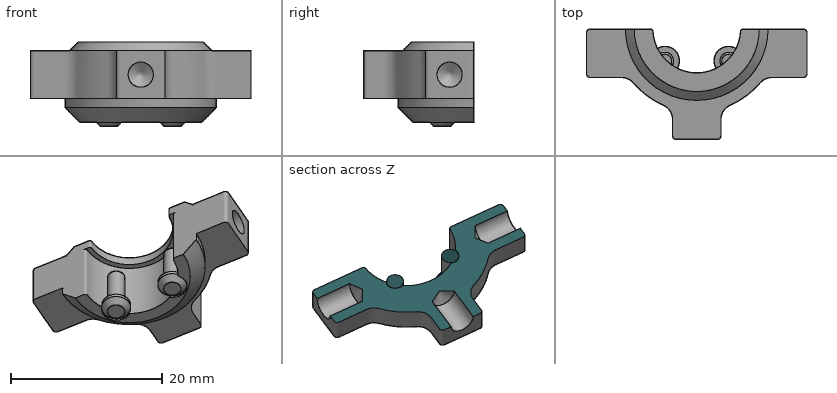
import cadquery as cq
import math

housing_bottom = 0.55
flange_chamfer_top = 2.5
plate_bottom = 3.7
plate_top = 10.05
housing_top = 11.2

overall_length = 29.2
arm_reach = overall_length / 2
arm_width = 6.42
plate_radius = 11.0
root_fillet = 2.05
corner_fillet = 0.5

collar_radius = 9.43
flange_radius = 10.02

lip_radius = 5.78
seat_radius = 6.45
bore_corner_fillet = 0.35
lip_thickness = 1.4
seat_top = housing_top - lip_thickness

drill_radius = 1.65
drill_depth = 4.95
drill_tip_angle = 118.0
drill_height = (plate_bottom + plate_top) / 2

screw_offset = 4.2
head_radius = 1.93
head_height = 1.3
head_chamfer = 0.85
shank_radius = 1.15
shank_tip_chamfer = 0.25
screw_length = 7.3
screw_places = [(side * screw_offset, -screw_offset) for side in (-1, 1)]


def half_turned(profile):
    """Revolve (radius, height) points through the half turn on the -Y side."""
    return cq.Workplane("XZ").polyline(profile).close().revolve(180, (0, 0, 0), (0, -1, 0))


def vertical_edges_at(solid, places):
    """Vertical edges of the solid that stand at the given (x, y) places."""
    tolerance = 0.003
    edges = [
        edge
        for edge in solid.edges("|Z").vals()
        if any(math.hypot(edge.Center().x - x, edge.Center().y - y) < tolerance for x, y in places)
    ]
    return solid.newObject(edges)


def make_plate():
    """Three-armed half disc with rounded arm roots and arm corners."""
    height = plate_top - plate_bottom
    half_width = arm_width / 2
    base = cq.Workplane("XY", origin=(0, 0, plate_bottom))
    disc = half_turned([
        (0, plate_bottom),
        (plate_radius, plate_bottom),
        (plate_radius, plate_top),
        (0, plate_top),
    ])
    side_arms = base.center(0, -half_width).rect(overall_length, arm_width).extrude(height)
    front_arm = base.center(0, -arm_reach / 2).rect(arm_width, arm_reach).extrude(height)
    plate = disc.union(side_arms).union(front_arm)

    side_root_x = math.sqrt(plate_radius**2 - arm_width**2)
    front_root_y = -math.sqrt(plate_radius**2 - half_width**2)
    roots = []
    corners = []
    for side in (-1, 1):
        roots += [(side * side_root_x, -arm_width), (side * half_width, front_root_y)]
        corners += [
            (side * arm_reach, 0),
            (side * arm_reach, -arm_width),
            (side * half_width, -arm_reach),
        ]
    plate = vertical_edges_at(plate, roots).fillet(root_fillet)
    return vertical_edges_at(plate, corners).fillet(corner_fillet)


def make_collar():
    """Chamfered half ring on top of the plate."""
    return half_turned([
        (0, plate_bottom),
        (collar_radius, plate_bottom),
        (collar_radius, plate_top),
        (collar_radius - (housing_top - plate_top), housing_top),
        (0, housing_top),
    ])


def make_flange():
    """Half ring under the plate, chamfered toward the bottom."""
    return half_turned([
        (0, housing_bottom),
        (flange_radius - (flange_chamfer_top - housing_bottom), housing_bottom),
        (flange_radius, flange_chamfer_top),
        (flange_radius, plate_top),
        (0, plate_top),
    ])


def cut_bore(solid):
    """Cut the seat and the lip opening, and round their corners on the split face."""
    seat = cq.Workplane("XY").circle(seat_radius).extrude(seat_top)
    opening = cq.Workplane("XY").circle(lip_radius).extrude(housing_top)
    solid = solid.cut(seat.union(opening))
    corners = [(side * radius, 0) for side in (-1, 1) for radius in (lip_radius, seat_radius)]
    return vertical_edges_at(solid, corners).fillet(bore_corner_fillet)


def make_drill(start, direction):
    """Drill-shaped cutter with a conical tip, entering at start along direction."""
    tip_length = drill_radius / math.tan(math.radians(drill_tip_angle / 2))
    shaft = cq.Solid.makeCylinder(drill_radius, drill_depth, start, direction)
    tip = cq.Solid.makeCone(drill_radius, 0, tip_length, start + direction * drill_depth, direction)
    return shaft.fuse(tip)


def make_drills():
    """One cutter for each of the three arm ends."""
    side_y = -arm_width / 2
    return [
        make_drill(cq.Vector(-arm_reach, side_y, drill_height), cq.Vector(1, 0, 0)),
        make_drill(cq.Vector(arm_reach, side_y, drill_height), cq.Vector(-1, 0, 0)),
        make_drill(cq.Vector(0, -arm_reach, drill_height), cq.Vector(0, 1, 0)),
    ]


def make_screw():
    """Screw along Z with a chamfered head at the bottom and a chamfered tip."""
    head = cq.Workplane("XY").circle(head_radius).extrude(head_height)
    head = head.faces("<Z").chamfer(head_chamfer)
    shank = cq.Workplane("XY").circle(shank_radius).extrude(screw_length)
    shank = shank.faces(">Z").chamfer(shank_tip_chamfer)
    return head.union(shank)


def make_screw_pocket():
    """Straight counterbore for the head and a blind hole for the shank."""
    counterbore = cq.Workplane("XY").circle(head_radius).extrude(head_height)
    return counterbore.union(cq.Workplane("XY").circle(shank_radius).extrude(screw_length))


def make_housing():
    """Split bearing housing, complete with arm holes and screw pockets."""
    body = make_plate().union(make_collar()).union(make_flange())
    body = cut_bore(body)
    for drill in make_drills():
        body = body.cut(cq.Workplane(drill))
    for x, y in screw_places:
        body = body.cut(make_screw_pocket().translate((x, y, 0)))
    return body


housing = make_housing()
screws = [make_screw().translate((x, y, 0)) for x, y in screw_places]

result = cq.Compound.makeCompound([housing.val(), *[screw.val() for screw in screws]])